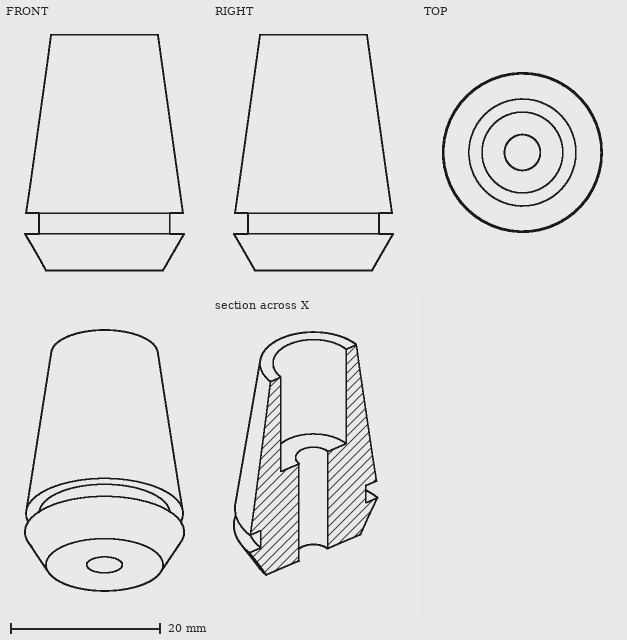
import cadquery as cq
import math

total_height = 31.5
nose_height = 4.9
groove_width = 2.75
nose_diameter = 21.3
groove_diameter = 17.5
taper_large_diameter = 21.0
taper_half_angle = 8.0
nose_half_angle = 30.0
clamping_hole_diameter = 4.75
clamping_hole_length = 16.0
rear_bore_diameter = 10.8

taper_start = nose_height + groove_width
taper_height = total_height - taper_start
nose_radius = nose_diameter / 2
nose_face_radius = nose_radius - nose_height * math.tan(math.radians(nose_half_angle))
groove_radius = groove_diameter / 2
taper_large_radius = taper_large_diameter / 2
taper_small_radius = taper_large_radius - taper_height * math.tan(math.radians(taper_half_angle))


def make_body():
    """Revolve the outer profile: conical nose, extraction groove and long taper."""
    return (
        cq.Workplane("XZ")
        .moveTo(0, 0)
        .lineTo(nose_face_radius, 0)
        .lineTo(nose_radius, nose_height)
        .lineTo(groove_radius, nose_height)
        .lineTo(groove_radius, taper_start)
        .lineTo(taper_large_radius, taper_start)
        .lineTo(taper_small_radius, total_height)
        .lineTo(0, total_height)
        .close()
        .revolve(360, (0, 0, 0), (0, 1, 0))
    )


def make_bore():
    """Clamping hole through the nose, opening into the wider rear bore."""
    clamping_hole = cq.Workplane("XY").circle(clamping_hole_diameter / 2).extrude(clamping_hole_length)
    rear_bore = (
        cq.Workplane("XY")
        .workplane(offset=clamping_hole_length)
        .circle(rear_bore_diameter / 2)
        .extrude(total_height - clamping_hole_length)
    )
    return clamping_hole.union(rear_bore)


result = make_body().cut(make_bore())